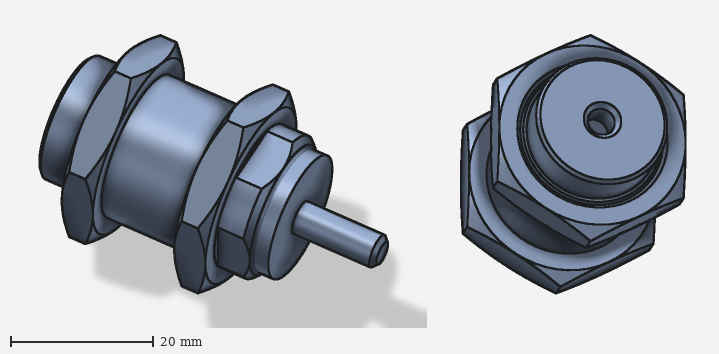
import cadquery as cq
import math

total_length = 50.0
shoulder_start = 6.0
thread_end = 29.1
nut_width = 5.0
nut_setback = 0.1
nut_starts = (shoulder_start, thread_end - nut_setback - nut_width)
flats_chamfer_start = 33.2
flats_end = 34.2
housing_end = 36.9

thread_radius = 11.0
collar_radius = 9.5
nose_fillet = 0.45
collar_chamfer = 0.5
flats_distance = 10.0
flats_end_radius = 10.0

relief_inner_radius = 10.0
relief_bottom_radius = 10.35
relief_outer_radius = 10.9
relief_depth = relief_outer_radius - relief_bottom_radius
thread_face = shoulder_start + relief_depth - (relief_bottom_radius - relief_inner_radius)

nut_across_flats = 27.0
nut_across_corners = nut_across_flats / math.cos(math.radians(30))
nut_chamfer_angle = 30.0

port_radius = 1.95
port_mouth_radius = 2.7
port_depth = 5.0

rod_radius = 2.5
rod_tip_chamfer = 0.75
rod_socket_depth = 5.0
rod_start = housing_end - rod_socket_depth


def revolve_x(points):
    """Solid of revolution about X from a closed outline of (x, radius) points."""
    return cq.Workplane("XY").polyline(points).close().revolve(360, (0, 0, 0), (1, 0, 0))


def cylinder_x(start, end, radius):
    return cq.Workplane("YZ", origin=(start, 0, 0)).circle(radius).extrude(end - start)


def make_nut(start):
    """Hexagon with corners up and down, its corners turned off at both faces."""
    hexagon = (
        cq.Workplane("YZ", origin=(start, 0, 0))
        .transformed(rotate=(0, 0, 90))
        .polygon(6, nut_across_corners)
        .extrude(nut_width)
    )
    face_radius = nut_across_flats / 2
    corner_radius = nut_across_corners / 2
    slope_length = (corner_radius - face_radius) * math.tan(math.radians(nut_chamfer_angle))
    end = start + nut_width
    envelope = revolve_x([
        (start, 0),
        (start, face_radius),
        (start + slope_length, corner_radius),
        (end - slope_length, corner_radius),
        (end, face_radius),
        (end, 0),
    ])
    return hexagon.intersect(envelope)


def make_barrel():
    """Rear collar, threaded length and filleted nose, before the wrench flats are cut."""
    barrel = revolve_x([
        (0, 0),
        (0, collar_radius - collar_chamfer),
        (collar_chamfer, collar_radius),
        (thread_face, collar_radius),
        (thread_face, relief_inner_radius),
        (thread_face + thread_radius - relief_inner_radius, thread_radius),
        (flats_chamfer_start, thread_radius),
        (flats_end, flats_end_radius),
        (flats_end, collar_radius),
        (housing_end, collar_radius),
        (housing_end, 0),
    ])
    nose_corner = cq.selectors.BoxSelector(
        (flats_end - nose_fillet / 2, -thread_radius, -thread_radius),
        (flats_end + nose_fillet / 2, thread_radius, thread_radius),
    )
    nose_circle = cq.selectors.RadiusNthSelector(0)
    return barrel.edges(nose_corner).edges("%CIRCLE").edges(nose_circle).fillet(nose_fillet)


def make_flats_cutter():
    """Material outside the square formed by the four wrench flats."""
    length = flats_end - thread_end
    return (
        cq.Workplane("YZ", origin=(thread_end, 0, 0))
        .rect(4 * flats_distance, 4 * flats_distance)
        .rect(2 * flats_distance, 2 * flats_distance)
        .extrude(length)
    )


def make_relief():
    return revolve_x([
        (shoulder_start, collar_radius),
        (shoulder_start, relief_outer_radius),
        (shoulder_start + relief_depth, relief_bottom_radius),
        (thread_face, relief_inner_radius),
        (thread_face, collar_radius),
    ])


def make_port():
    mouth_depth = port_mouth_radius - port_radius
    return revolve_x([
        (0, 0),
        (0, port_mouth_radius),
        (mouth_depth, port_radius),
        (port_depth, port_radius),
        (port_depth, 0),
    ])


def make_housing():
    housing = make_barrel().cut(make_flats_cutter())
    for start in nut_starts:
        housing = housing.union(make_nut(start))
    rod_socket = cylinder_x(rod_start, housing_end, rod_radius)
    return housing.cut(make_relief()).cut(make_port()).cut(rod_socket)


def make_rod():
    return cylinder_x(rod_start, total_length, rod_radius).faces(">X").chamfer(rod_tip_chamfer)


housing = make_housing()
rod = make_rod()
result = cq.Compound.makeCompound([housing.val(), rod.val()])